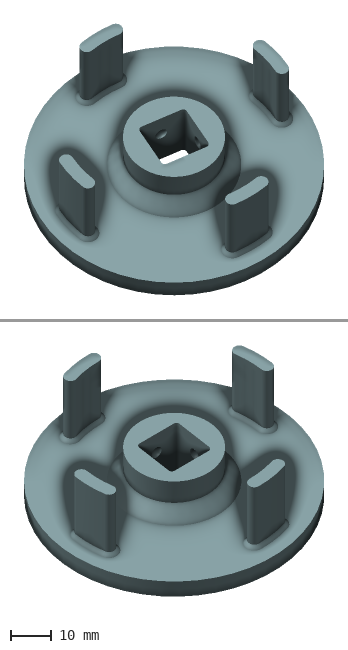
import cadquery as cq
import math

disc_diameter = 73.5
disc_thickness = 5.0
total_height = 25.0

hub_diameter = 25.0
hub_top = 16.0
cone_height = 4.0
cone_base_diameter = hub_diameter + 2 * cone_height

socket_width = 13.1
socket_corner_radius = 1.0
dimple_radius = 1.6
dimple_z = 9.8
socket_side_count = 4

finger_count = 4
finger_pitch_radius = 30.0
finger_width = 3.5
finger_sweep = 17.0
flare_size = 1.0


def polar_point(radius, angle):
    """Point at a radius and an angle in degrees around the disc axis."""
    radians = math.radians(angle)
    return (radius * math.cos(radians), radius * math.sin(radians))


def curved_slot(width):
    """Arc-shaped slot outline with round ends, lying on the top of the disc."""
    inner = finger_pitch_radius - width / 2
    outer = finger_pitch_radius + width / 2
    end_x, end_y = polar_point(finger_pitch_radius, finger_sweep)
    bulge_x, bulge_y = polar_point(width / 2, finger_sweep + 90)
    return (
        cq.Workplane("XY", origin=(0, 0, disc_thickness))
        .moveTo(*polar_point(outer, 0))
        .threePointArc(polar_point(outer, finger_sweep / 2), polar_point(outer, finger_sweep))
        .threePointArc((end_x + bulge_x, end_y + bulge_y), polar_point(inner, finger_sweep))
        .threePointArc(polar_point(inner, finger_sweep / 2), polar_point(inner, 0))
        .threePointArc((finger_pitch_radius, -width / 2), polar_point(outer, 0))
        .close()
    )


def make_finger():
    blade = curved_slot(finger_width).extrude(total_height - disc_thickness)
    flare = (
        curved_slot(finger_width + 2 * flare_size)
        .extrude(2 * flare_size)
        .faces(">Z")
        .chamfer(flare_size)
        .translate((0, 0, -flare_size))
    )
    return blade.union(flare)


def make_disc_and_hub():
    """Solid of revolution forming the disc, cone and hub cylinder."""
    return (
        cq.Workplane("XZ")
        .moveTo(0, 0)
        .lineTo(disc_diameter / 2, 0)
        .lineTo(disc_diameter / 2, disc_thickness)
        .lineTo(cone_base_diameter / 2, disc_thickness)
        .lineTo(hub_diameter / 2, disc_thickness + cone_height)
        .lineTo(hub_diameter / 2, hub_top)
        .lineTo(0, hub_top)
        .close()
        .revolve(360, (0, 0, 0), (0, 1, 0))
    )


def make_socket():
    """Through socket together with the dimples in its four walls."""
    socket = (
        cq.Workplane("XY")
        .rect(socket_width, socket_width)
        .extrude(hub_top)
        .edges("|Z")
        .fillet(socket_corner_radius)
    )
    for side in range(socket_side_count):
        x, y = polar_point(socket_width / 2, side * 360 / socket_side_count)
        dimple = cq.Workplane("XY").sphere(dimple_radius).translate((x, y, dimple_z))
        socket = socket.union(dimple)
    return socket


result = make_disc_and_hub().cut(make_socket())
finger = make_finger()
for index in range(finger_count):
    placed_finger = finger.rotate((0, 0, 0), (0, 0, 1), index * 360 / finger_count)
    result = result.union(placed_finger)